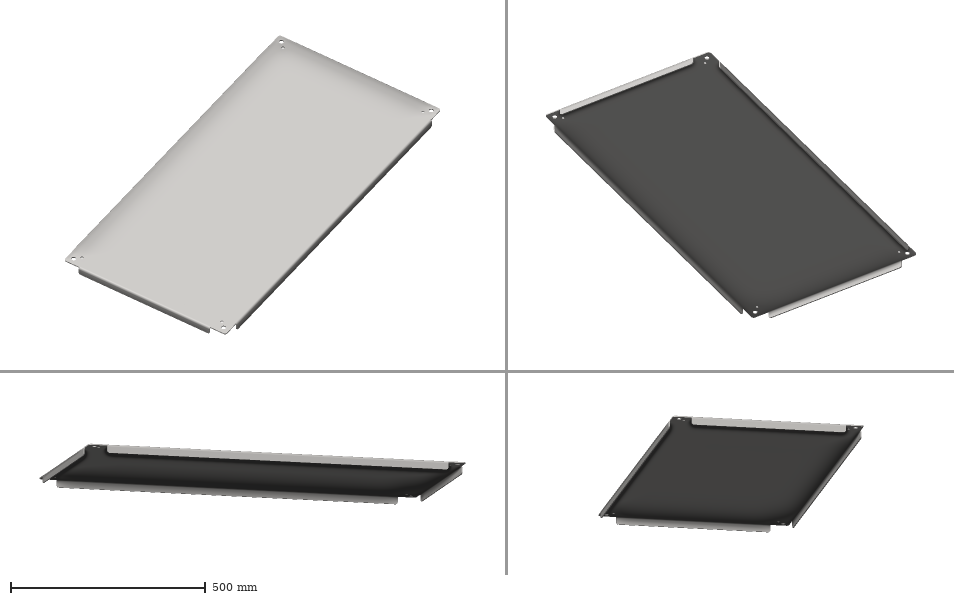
import cadquery as cq

width = 506.41
length = 1011.24
height = 22.23

thickness = 3.038
inner_bend_radius = thickness
outer_bend_radius = inner_bend_radius + thickness

tab_inset = 3.2
tab_corner_radius = 6.35

flange_end_gap = 50.8
flange_corner_radius = 6.35
side_span = length - 2 * flange_end_gap
end_span = width - 2 * flange_end_gap

mounting_hole_diameter = 12.7
mounting_hole_inset = 21.4
small_hole_diameter = 7.14
small_hole_inset = 36.9


def flat_sheet():
    """Rounded top sheet with the bend strips cleared along each flange."""
    sheet = (
        cq.Workplane("XY", origin=(0, 0, -thickness))
        .rect(width - 2 * tab_inset, length - 2 * tab_inset)
        .extrude(thickness)
        .edges("|Z")
        .fillet(tab_corner_radius)
    )
    strip_x = (width - outer_bend_radius) / 2
    strip_y = (length - outer_bend_radius) / 2
    for side in (-1, 1):
        side_strip = cq.Workplane("XY").center(side * strip_x, 0).box(outer_bend_radius, side_span, height)
        end_strip = cq.Workplane("XY").center(0, side * strip_y).box(end_span, outer_bend_radius, height)
        sheet = sheet.cut(side_strip).cut(end_strip)
    return sheet


def flange(outer_face, span):
    """Bend and downturned lip on the +X side, with rounded lower corners."""
    bend_start = outer_face - outer_bend_radius
    profile = (
        cq.Workplane("XZ", origin=(0, span / 2, 0))
        .moveTo(bend_start, 0)
        .radiusArc((outer_face, -outer_bend_radius), outer_bend_radius)
        .lineTo(outer_face, -height)
        .lineTo(outer_face - thickness, -height)
        .lineTo(outer_face - thickness, -outer_bend_radius)
        .radiusArc((bend_start, -thickness), -inner_bend_radius)
        .close()
    )
    return profile.extrude(span).edges("|X and <Z").fillet(flange_corner_radius)


def corner_holes(diameter, inset):
    """Four cutters, one at each corner of the sheet."""
    return (
        cq.Workplane("XY", origin=(0, 0, -thickness))
        .rect(width - 2 * inset, length - 2 * inset, forConstruction=True)
        .vertices()
        .circle(diameter / 2)
        .extrude(thickness)
    )


side_flange = flange(width / 2, side_span)
end_flange = flange(length / 2, end_span)

panel = flat_sheet()
for turn in (0, 180):
    panel = panel.union(side_flange.rotate((0, 0, 0), (0, 0, 1), turn))
    panel = panel.union(end_flange.rotate((0, 0, 0), (0, 0, 1), turn + 90))

panel = panel.cut(corner_holes(mounting_hole_diameter, mounting_hole_inset))
result = panel.cut(corner_holes(small_hole_diameter, small_hole_inset))